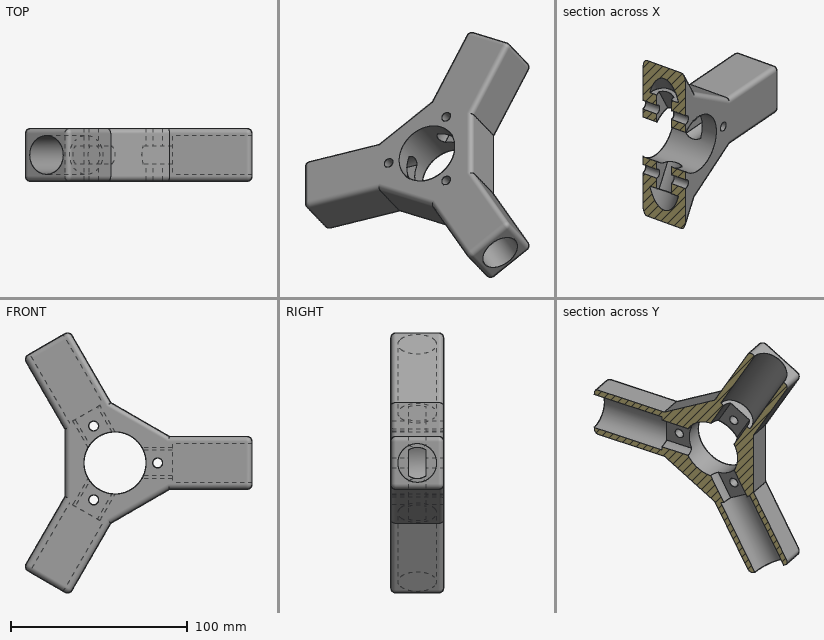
import cadquery as cq
import math

thickness = 30.0
arm_width = thickness
arm_count = 3
arm_pitch = 360 / arm_count
arm_reach = 77.5
hub_flat_distance = 28.4
edge_radius = 3.0

hub_bore_diameter = 35.0
socket_diameter = 22.0
socket_depth = 45.0
passage_diameter = 17.7
passage_width = 10.2
screw_diameter = 5.5
screw_circle_radius = 24.1


def make_hub():
    """Hexagon whose sides alternate between the arm roots and the flats between arms."""
    half_width = arm_width / 2
    half_angle = math.radians(arm_pitch / 2)
    root_x = (hub_flat_distance - half_width * math.sin(half_angle)) / math.cos(half_angle)
    root_radius = math.hypot(root_x, half_width)
    root_angle = math.atan2(half_width, root_x)
    corners = []
    for i in range(arm_count):
        arm_angle = math.radians(i * arm_pitch)
        for angle in (arm_angle - root_angle, arm_angle + root_angle):
            corners.append((root_radius * math.cos(angle), root_radius * math.sin(angle)))
    return cq.Workplane("XZ").polyline(corners).close().extrude(thickness / 2, both=True)


def around_hub(shape):
    """Copies of a shape made for the +X arm, one for each arm."""
    return [shape.rotate((0, 0, 0), (0, 1, 0), i * arm_pitch) for i in range(arm_count)]


arm = cq.Workplane("XY").box(arm_reach, thickness, arm_width, centered=(False, True, True))
socket = cq.Workplane("YZ", origin=(arm_reach, 0, 0)).circle(socket_diameter / 2).extrude(-socket_depth)

passage_length = arm_reach - socket_depth
passage_flats = cq.Workplane("XY").box(
    passage_length, passage_width, passage_diameter, centered=(False, True, True)
)
passage = cq.Workplane("YZ").circle(passage_diameter / 2).extrude(passage_length).intersect(passage_flats)

screw_hole = (
    cq.Workplane("XZ")
    .center(screw_circle_radius, 0)
    .circle(screw_diameter / 2)
    .extrude(thickness / 2, both=True)
)
hub_bore = cq.Workplane("XZ").circle(hub_bore_diameter / 2).extrude(thickness / 2, both=True)

body = make_hub()
for arm_copy in around_hub(arm):
    body = body.union(arm_copy)
body = body.clean()

rim_edges = body.faces("<Y or >Y").edges()
tip_edges = body.edges("|Y").filter(
    lambda edge: math.hypot(edge.Center().x, edge.Center().z) > arm_reach
)
body = body.newObject(rim_edges.vals() + tip_edges.vals()).fillet(edge_radius)

body = body.cut(hub_bore)
for cutter in around_hub(socket) + around_hub(passage) + around_hub(screw_hole):
    body = body.cut(cutter)

result = body